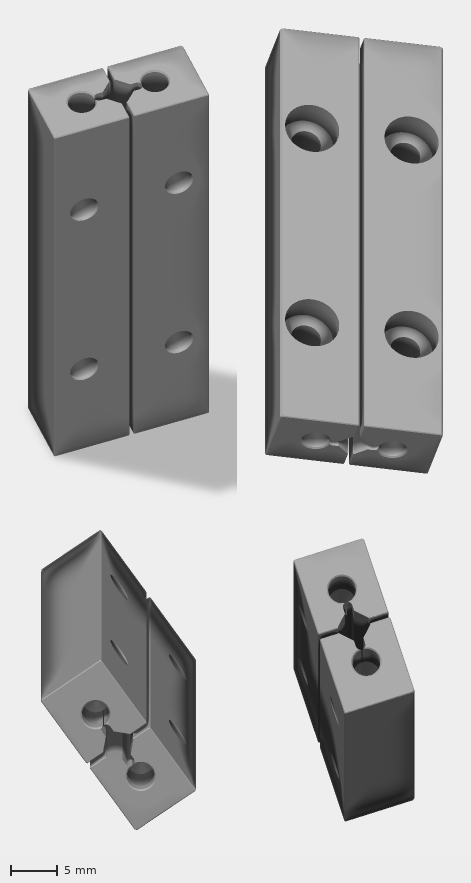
import cadquery as cq
import math

length = 50.0
thickness = 8.0
pair_width = 18.0
gap = 0.5
edge_chamfer = 0.1
outer_edge_chamfer = 0.2
inner_face = gap / 2
outer_face = pair_width / 2

mount_offset = 5.5
mount_pitch = 25.0
mount_diameter = 3.3
counterbore_diameter = 6.0
counterbore_depth = 3.2

end_hole_offset = 4.25
end_hole_radius = 3.0 / 2
end_hole_mouth_radius = 3.3 / 2
end_hole_depth = 6.0
end_hole_point_angle = 90.0

roller_diameter = 3.0
vee_reach = roller_diameter / math.sqrt(2)
track_opening = 3.5
relief_width = 1.05
relief_overlap = 0.005
relief_depth = end_hole_offset - end_hole_radius + relief_overlap


def bar():
    """Plain bar with a larger chamfer on its outer -X edge and a fine one on the other edges."""
    width = outer_face - inner_face
    block = cq.Workplane("XY").box(thickness, width, length)
    block = block.edges("|Z and <X and >Y").chamfer(outer_edge_chamfer)
    fine_edges = block.edges("|Z").edges("<Y or >X")
    block = fine_edges.chamfer(edge_chamfer)
    block = block.faces("<Z or >Z").edges().chamfer(edge_chamfer)
    return block.translate((0, (inner_face + outer_face) / 2, 0))


def track():
    """Cutter for one half of the track, running the full length of the rail."""
    half_opening = track_opening / 2
    lip = vee_reach - half_opening
    half_relief = relief_width / 2
    shoulder = vee_reach - half_relief
    straight_end = relief_depth - half_relief
    return (
        cq.Workplane("XY")
        .moveTo(-half_opening, 0)
        .lineTo(-half_opening, lip)
        .lineTo(-half_relief, shoulder)
        .lineTo(-half_relief, straight_end)
        .threePointArc((0, relief_depth), (half_relief, straight_end))
        .lineTo(half_relief, shoulder)
        .lineTo(half_opening, lip)
        .lineTo(half_opening, 0)
        .close()
        .extrude(length / 2, both=True)
    )


def mount_hole(z):
    """Cutter for a counterbored through hole at height z."""
    start = cq.Workplane("YZ", origin=(-thickness / 2, mount_offset, z))
    through = start.circle(mount_diameter / 2).extrude(thickness)
    counterbore = start.circle(counterbore_diameter / 2).extrude(counterbore_depth)
    return through.union(counterbore)


def end_hole():
    """Cutter for the hole in the +Z end: chamfered mouth, straight bore, conical bottom."""
    top = length / 2
    bottom = top - end_hole_depth
    mouth_depth = end_hole_mouth_radius - end_hole_radius
    point_depth = end_hole_radius / math.tan(math.radians(end_hole_point_angle / 2))
    return (
        cq.Workplane("XZ", origin=(0, end_hole_offset, 0))
        .moveTo(0, top)
        .lineTo(end_hole_mouth_radius, top)
        .lineTo(end_hole_radius, top - mouth_depth)
        .lineTo(end_hole_radius, bottom)
        .lineTo(0, bottom - point_depth)
        .close()
        .revolve(360, (0, 0, 0), (0, 1, 0))
    )


def rail():
    body = bar().cut(track())
    for side in (-1, 1):
        body = body.cut(mount_hole(side * mount_pitch / 2))
    top_hole = end_hole()
    bottom_hole = top_hole.mirror("XY")
    return body.cut(top_hole).cut(bottom_hole).solids()


back_rail = rail()
front_rail = back_rail.mirror("XZ").solids()

result = cq.Compound.makeCompound([back_rail.val(), front_rail.val()])